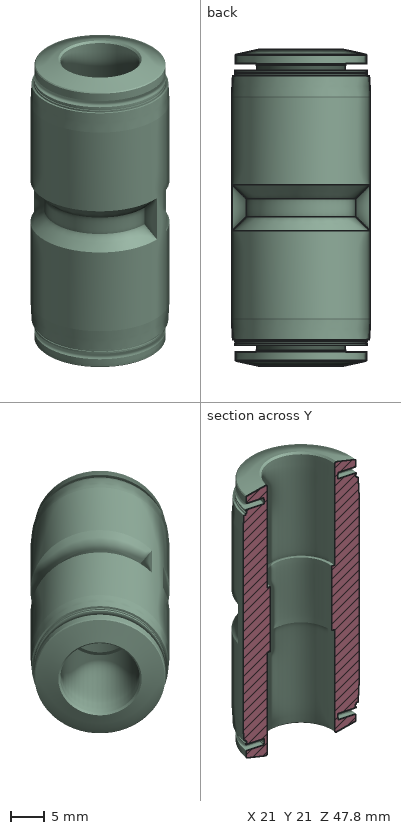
import cadquery as cq

total_length = 47.8
half_length = total_length / 2
body_diameter = 21.0

collar_diameter = 19.8
collar_rim_bevel = 0.15
collar_rim_depth = 0.9
collar_depth = 2.15
collar_lip_depth = 2.4
collar_lip_diameter = 13.58
neck_diameter = 13.4

end_ring_diameter = 20.0
ring_groove_diameter = 19.7
ring_top_depth = 3.15
ring_groove_start = 3.45
ring_groove_end = 3.75
shoulder_depth = 4.0
shoulder_diameter = 20.65
taper_end_depth = 7.15

mouth_diameter = 12.55
socket_diameter = 12.0
passage_diameter = 11.0
mouth_depth = (mouth_diameter - socket_diameter) / 2
socket_depth = 18.15

waist_diameter = 16.83
waist_floor_width = 2.75
flank_depth = (body_diameter - waist_diameter) / 2
waist_mouth_width = waist_floor_width + 2 * flank_depth
rib_width = 3.05


def revolve_symmetric(sections):
    """Revolve (diameter, depth from the end) points together with their mirror image about Z = 0."""
    upper = [(diameter / 2, half_length - depth) for diameter, depth in sections]
    lower = [(radius, -height) for radius, height in reversed(upper)]
    outline = [(0, half_length)] + upper + lower + [(0, -half_length)]
    return cq.Workplane("XZ").polyline(outline).close().revolve(360, (0, 0), (0, 1))


def make_outside():
    return revolve_symmetric([
        (mouth_diameter, 0),
        (collar_diameter - 2 * collar_rim_bevel, collar_rim_depth - collar_rim_bevel),
        (collar_diameter, collar_rim_depth),
        (collar_diameter, collar_depth),
        (collar_lip_diameter, collar_depth),
        (collar_lip_diameter, collar_lip_depth),
        (neck_diameter, collar_lip_depth),
        (neck_diameter, ring_top_depth),
        (end_ring_diameter, ring_top_depth),
        (end_ring_diameter, ring_groove_start),
        (ring_groove_diameter, ring_groove_start),
        (ring_groove_diameter, ring_groove_end),
        (end_ring_diameter, ring_groove_end),
        (end_ring_diameter, shoulder_depth),
        (shoulder_diameter, shoulder_depth),
        (body_diameter, taper_end_depth),
    ])


def make_bore():
    return revolve_symmetric([
        (mouth_diameter, 0),
        (socket_diameter, mouth_depth),
        (socket_diameter, socket_depth),
        (passage_diameter, socket_depth),
    ])


def make_waist_cut():
    """Ring to remove around the waist, leaving the two ribs in place."""
    floor_radius = waist_diameter / 2
    body_radius = body_diameter / 2
    ring = (
        cq.Workplane("XZ")
        .polyline([
            (floor_radius, -waist_floor_width / 2),
            (body_radius, -waist_mouth_width / 2),
            (body_radius, waist_mouth_width / 2),
            (floor_radius, waist_floor_width / 2),
        ])
        .close()
        .revolve(360, (0, 0), (0, 1))
    )
    ribs = cq.Workplane("XY").box(body_diameter, rib_width, waist_mouth_width)
    return ring.cut(ribs)


result = make_outside().cut(make_waist_cut()).cut(make_bore())